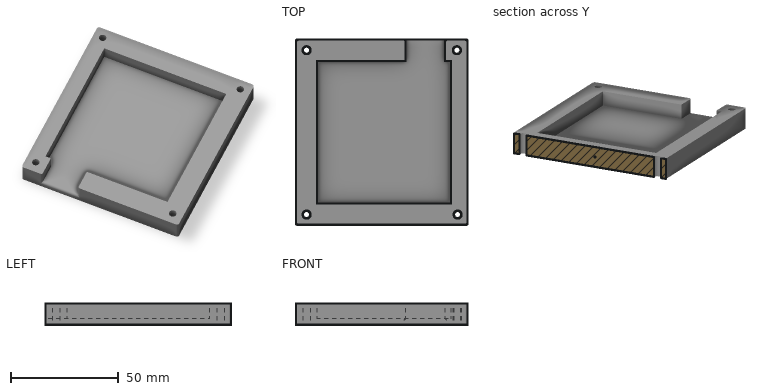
import cadquery as cq

width = 79.6
length = 86.0
height = 10.0
corner_radius = 1.0

wall = 9.9
right_wall = 7.7
floor_thickness = 3.0

opening_left = 11.1
opening_right = 29.3
opening_rim_radius = 0.95

hole_diameter = 3.4
side_hole_inset = 5.0
front_right_side_inset = 4.65
back_hole_inset = 5.0
front_hole_inset = 4.8


def make_block():
    block = cq.Workplane("XY").box(width, length, height, centered=(True, True, False))
    return block.edges("|Z").fillet(corner_radius)


def make_cavity(left, right, front, back):
    """Rectangular cut from the top face down to the tray floor."""
    return (
        cq.Workplane("XY", origin=((left + right) / 2, (front + back) / 2, floor_thickness))
        .box(right - left, back - front, height, centered=(True, True, False))
    )


def round_opening(body):
    """Round the outer rim of the opening: floor lip and both side corners."""
    reach = 0.1
    lip = cq.selectors.BoxSelector(
        (opening_left - reach, length / 2 - reach, floor_thickness - reach),
        (opening_right + reach, length / 2 + reach, floor_thickness + reach),
    )
    sides = cq.selectors.BoxSelector(
        (opening_left - reach, length / 2 - reach, floor_thickness + reach),
        (opening_right + reach, length / 2 + reach, height),
    )
    return body.edges(lip + sides).fillet(opening_rim_radius)


pocket_left = wall - width / 2
pocket_right = width / 2 - right_wall
pocket_back = length / 2 - wall
pocket_front = wall - length / 2

pocket = make_cavity(pocket_left, pocket_right, pocket_front, pocket_back)
opening = make_cavity(opening_left, opening_right, pocket_back, length / 2)

left_hole_x = side_hole_inset - width / 2
right_hole_x = width / 2 - side_hole_inset
front_right_hole_x = width / 2 - front_right_side_inset
front_hole_y = front_hole_inset - length / 2
back_hole_y = length / 2 - back_hole_inset
hole_centers = [
    (left_hole_x, front_hole_y),
    (front_right_hole_x, front_hole_y),
    (left_hole_x, back_hole_y),
    (right_hole_x, back_hole_y),
]
holes = cq.Workplane("XY").pushPoints(hole_centers).circle(hole_diameter / 2).extrude(height)

result = round_opening(make_block().cut(pocket).cut(opening)).cut(holes)